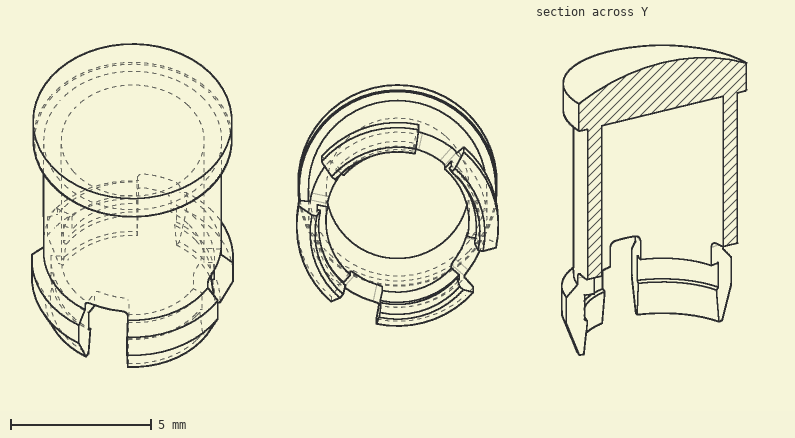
import cadquery as cq
import math

total_height = 10.9
dome_base_z = 10.09
head_base_z = 9.01
slot_top_z = 3.22
barb_shoulder_z = 2.74
barb_top_z = 2.29
barb_bottom_z = 1.26
lip_rise = 0.08

head_radius = 7.1 / 2
body_radius = 6.35 / 2
barb_radius = 3.6
tip_outer_radius = 3.12
head_chamfer = 0.04

bore_radius = 5.1 / 2
groove_radius = 2.92
lip_radius = 2.81
tip_inner_radius = 2.94

finger_count = 4
slot_angle = 29.0
slot_corner_radius = 0.22
slot_inner_reach = 1.64
slot_outer_reach = 4.36


def dome_midpoint():
    """Point halfway along the dome's arc, from its rim to its crown."""
    rise = total_height - dome_base_z
    sphere_radius = (head_radius**2 + rise**2) / (2 * rise)
    half_arc = math.asin(head_radius / sphere_radius) / 2
    drop = sphere_radius * (1 - math.cos(half_arc))
    return sphere_radius * math.sin(half_arc), total_height - drop


def revolved_body():
    """Domed cap, hollow barrel and barbed lower ring as one turned profile."""
    return (
        cq.Workplane("XZ")
        .moveTo(tip_inner_radius, 0)
        .lineTo(tip_outer_radius, 0)
        .lineTo(barb_radius, barb_bottom_z)
        .lineTo(barb_radius, barb_top_z)
        .lineTo(body_radius, barb_shoulder_z)
        .lineTo(body_radius, head_base_z)
        .lineTo(head_radius - head_chamfer, head_base_z)
        .lineTo(head_radius, head_base_z + head_chamfer)
        .lineTo(head_radius, dome_base_z)
        .threePointArc(dome_midpoint(), (0, total_height))
        .lineTo(0, head_base_z)
        .lineTo(bore_radius, head_base_z)
        .lineTo(bore_radius, barb_top_z)
        .lineTo(groove_radius, barb_top_z)
        .lineTo(groove_radius, barb_bottom_z + lip_rise)
        .lineTo(lip_radius, barb_bottom_z)
        .close()
        .revolve(360, (0, 0, 0), (0, 1, 0))
    )


def slot_cutter():
    """Wedge with radial side walls and rounded upper corners, along +X."""
    slope = math.tan(math.radians(slot_angle / 2))
    inner_half_width = slot_inner_reach * slope
    outer_half_width = slot_outer_reach * slope
    return (
        cq.Workplane("XY")
        .moveTo(slot_inner_reach, -inner_half_width)
        .lineTo(slot_outer_reach, -outer_half_width)
        .lineTo(slot_outer_reach, outer_half_width)
        .lineTo(slot_inner_reach, inner_half_width)
        .close()
        .extrude(slot_top_z)
        .faces(">Z")
        .edges("not #X")
        .fillet(slot_corner_radius)
    )


result = revolved_body()
cutter = slot_cutter()
for index in range(finger_count):
    angle = index * 360 / finger_count
    result = result.cut(cutter.rotate((0, 0, 0), (0, 0, 1), angle))